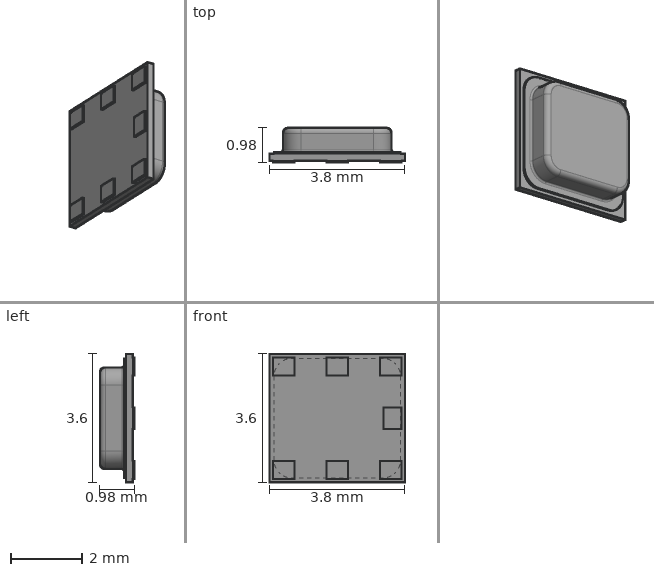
import cadquery as cq

board_width = 3.8
board_height = 3.6
board_thickness = 0.2

pad_long = 0.6
pad_short = 0.5
pad_thickness = 0.05
pad_margin = 0.1

corner_radius = 0.5
can_width = 3.048
can_height = 2.85
can_top_radius = 0.155
can_foot_radius = 0.057
flange_overhang = 0.25
flange_thickness = 0.05
flange_width = can_width + 2 * flange_overhang
flange_height = can_height + 2 * flange_overhang

overall_depth = 0.98
can_depth = overall_depth - pad_thickness - board_thickness - flange_thickness

board_front = pad_thickness
board_back = board_front + board_thickness
flange_back = board_back + flange_thickness


def plate(width, height, depth, front, center_x=0, center_z=0):
    """Rectangular plate whose -Y face lies at y = front."""
    return cq.Workplane("XY").box(width, depth, height).translate((center_x, front + depth / 2, center_z))


def rounded_plate(width, height, depth, front):
    """Plate with its four corners rounded about Y."""
    return plate(width, height, depth, front).edges("|Y").fillet(corner_radius)


board = plate(board_width, board_height, board_thickness, board_front)

can = rounded_plate(can_width, can_height, can_depth, flange_back)
can = can.faces(">Y").edges().fillet(can_top_radius)
flange = rounded_plate(flange_width, flange_height, flange_thickness, board_back)
lid = flange.union(can)
foot_edges = lid.faces("+Y").faces("<Y").val().innerWires()[0].Edges()
lid = lid.newObject(foot_edges).fillet(can_foot_radius)

column_x = board_width / 2 - pad_margin - pad_long / 2
row_z = board_height / 2 - pad_margin - pad_short / 2
side_pad_x = board_width / 2 - pad_margin - pad_short / 2

result = board.union(lid)
for pad_z in (-row_z, row_z):
    for pad_x in (-column_x, 0, column_x):
        result = result.union(plate(pad_long, pad_short, pad_thickness, 0, pad_x, pad_z))
result = result.union(plate(pad_short, pad_long, pad_thickness, 0, side_pad_x))